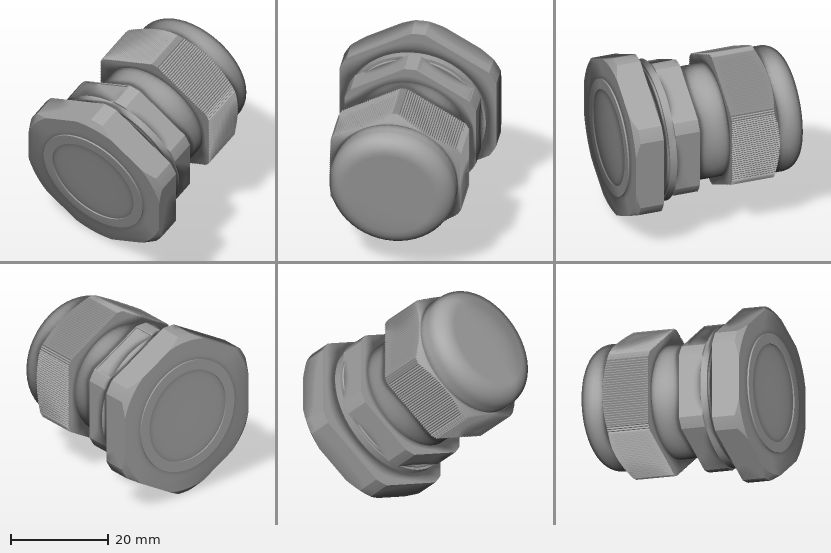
import cadquery as cq
import math

total_length = 38.71

hexagon_sides = 6
side_angle = 2 * math.pi / hexagon_sides

spigot_diameter = 24.7
spigot_recess_diameter = 20.3
spigot_recess_depth = 0.3

nut_start = 0.35
nut_end = 6.4
nut_across_flats = 32.7
nut_corner_diameter = 36.19
nut_chamfer_radial = 1.2
nut_chamfer_length = 1.0

seal_disc_diameter = 28.5
seal_disc_start = 7.95
seal_disc_end = 10.2
seal_disc_chamfer = 0.15
seal_rim_diameter = 29.6
seal_rim_start = 8.35
seal_rim_end = 9.8

body_hex_end = 15.1
body_hex_across_flats = 27.5
body_hex_corner_diameter = 30.4
panel_depth = 0.25
panel_margin = 0.25
panel_angle = 120

neck_diameter = 23.7

grip_start = 22.2
grip_end = 32.7
grip_across_flats = 27.3
grip_corner_diameter = 30.7
grip_end_diameter = 26.7
grip_chamfer_length = 1.25
teeth_per_flat = 28
teeth_per_corner = 3
tooth_angle = 90
dome_diameter = 26.3
dome_radius = 3.6


def half_flat(across_flats, corner_diameter):
    """Half the width of a hexagon flat whose corners are cut by a cylinder."""
    return math.sqrt(corner_diameter**2 - across_flats**2) / 2


def disc(diameter, start, end):
    """Cylinder around the Y axis from start to end."""
    return cq.Workplane("XZ", origin=(0, start, 0)).circle(diameter / 2).extrude(start - end)


def turned(points):
    """Solid of revolution around Y from (radius, y) points."""
    return cq.Workplane("XY").polyline(points).close().revolve(360, (0, 0, 0), (0, 1, 0))


def hexagon(across_flats, start, end):
    """Sharp hexagonal prism with two flats facing +X and -X."""
    corner_circle = across_flats / math.cos(side_angle / 2)
    sketch = cq.Workplane("XZ", origin=(0, start, 0)).transformed(rotate=(0, 0, math.degrees(side_angle / 2)))
    return sketch.polygon(hexagon_sides, corner_circle).extrude(start - end)


def lock_nut():
    radius = nut_corner_diameter / 2
    envelope = turned([
        (0, nut_start),
        (radius - nut_chamfer_radial, nut_start),
        (radius, nut_start + nut_chamfer_length),
        (radius, nut_end),
        (0, nut_end),
    ])
    return hexagon(nut_across_flats, nut_start, nut_end).intersect(envelope)


def body_hexagon():
    prism = hexagon(body_hex_across_flats, seal_rim_end, body_hex_end)
    prism = prism.intersect(disc(body_hex_corner_diameter, seal_rim_end, body_hex_end))
    panel_width = 2 * (half_flat(body_hex_across_flats, body_hex_corner_diameter) - panel_margin)
    panel_length = body_hex_end - seal_rim_end - 2 * panel_margin
    panel = (
        cq.Workplane("XY")
        .box(2 * panel_depth, panel_length, panel_width)
        .translate((body_hex_across_flats / 2, (seal_rim_end + body_hex_end) / 2, 0))
        .rotate((0, 0, 0), (0, 1, 0), -panel_angle)
    )
    return prism.cut(panel)


def grip_outline():
    """Knurled hexagon in (x, z): V teeth along each flat and around each corner."""
    crest = grip_across_flats / 2
    corner = grip_corner_diameter / 2
    half_width = half_flat(grip_across_flats, grip_corner_diameter)
    tooth_pitch = 2 * half_width / teeth_per_flat
    tooth_depth = tooth_pitch / 2 / math.tan(math.radians(tooth_angle / 2))
    half_corner = side_angle / 2 - math.acos(crest / corner)
    corner_step = 2 * half_corner / teeth_per_corner
    points = []
    for side in range(hexagon_sides):
        turn = side * side_angle
        for tooth in range(teeth_per_flat):
            along = -half_width + tooth * tooth_pitch
            for radial, offset in ((crest, along), (crest - tooth_depth, along + tooth_pitch / 2)):
                points.append((
                    radial * math.cos(turn) - offset * math.sin(turn),
                    radial * math.sin(turn) + offset * math.cos(turn),
                ))
        corner_start = turn + side_angle / 2 - half_corner
        for tooth in range(teeth_per_corner):
            angle = corner_start + tooth * corner_step
            for radial, direction in ((corner, angle), (corner - tooth_depth, angle + corner_step / 2)):
                points.append((radial * math.cos(direction), radial * math.sin(direction)))
    return points


def grip():
    prism = cq.Workplane("XZ", origin=(0, grip_start, 0)).polyline(grip_outline()).close()
    prism = prism.extrude(grip_start - grip_end)
    envelope = turned([
        (0, grip_start),
        (grip_corner_diameter / 2, grip_start),
        (grip_corner_diameter / 2, grip_end - grip_chamfer_length),
        (grip_end_diameter / 2, grip_end),
        (0, grip_end),
    ])
    return prism.intersect(envelope)


def dome():
    return disc(dome_diameter, grip_start, total_length).faces(">Y").edges().fillet(dome_radius)


def spigot():
    recess = disc(spigot_recess_diameter, 0, spigot_recess_depth)
    return disc(spigot_diameter, 0, seal_rim_end).cut(recess)


def seal():
    inner_disc = disc(seal_disc_diameter, seal_disc_start, seal_disc_end)
    inner_disc = inner_disc.faces(">Y").edges().chamfer(seal_disc_chamfer)
    return inner_disc.union(disc(seal_rim_diameter, seal_rim_start, seal_rim_end))


def neck():
    return disc(neck_diameter, seal_rim_end, grip_start)


result = spigot().union(lock_nut()).union(seal()).union(body_hexagon())
result = result.union(neck()).union(dome()).union(grip())